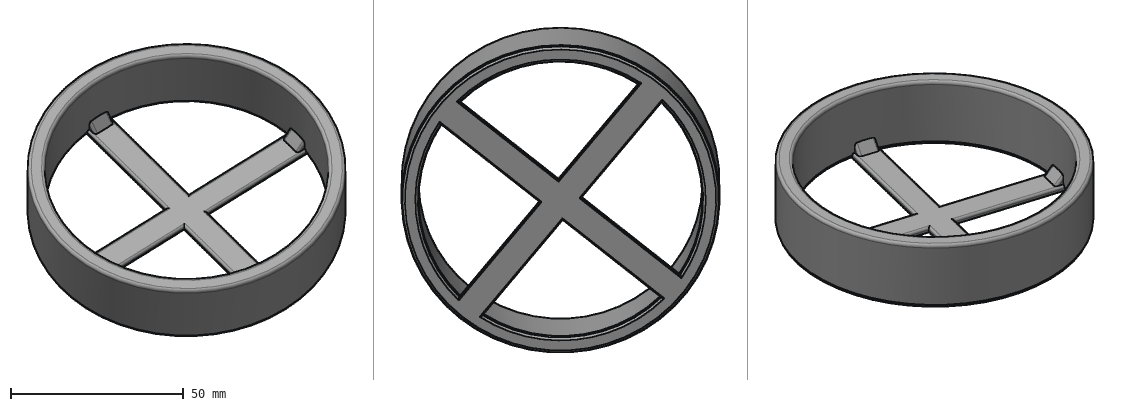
import cadquery as cq

outer_radius = 46.0
bore_radius = 82.0 / 2
ring_height = 22.0
rim_fillet = 1.0

taper_height = 1.4
taper_inset = 0.3
bevel_height = 0.6
bevel_inset = 1.0

spoke_width = 8.6
spoke_top = 2.0
spoke_fillet = 0.78
spoke_chamfer = 0.4

foot_width = spoke_width - 2 * spoke_fillet
foot_start = 38.1
foot_rise = 3.2
foot_fillet = 0.8

wall_middle = (outer_radius + bore_radius) / 2


def make_ring():
    profile = (
        cq.Workplane("XZ")
        .moveTo(bore_radius, taper_height)
        .lineTo(bore_radius + taper_inset, bevel_height)
        .lineTo(bore_radius + bevel_inset, 0)
        .lineTo(outer_radius - bevel_inset, 0)
        .lineTo(outer_radius - taper_inset, bevel_height)
        .lineTo(outer_radius, taper_height)
        .lineTo(outer_radius, ring_height)
        .lineTo(bore_radius, ring_height)
        .close()
    )
    return profile.revolve(360, (0, 0, 0), (0, 1, 0)).faces(">Z").edges().fillet(rim_fillet)


def make_cross():
    along_y = (
        cq.Workplane("XY")
        .rect(spoke_width, 2 * wall_middle)
        .extrude(spoke_top)
        .edges("|Y and >Z")
        .fillet(spoke_fillet)
        .edges("|Y and <Z")
        .chamfer(spoke_chamfer)
    )
    along_x = along_y.rotate((0, 0, 0), (0, 0, 1), 90)
    return along_y.union(along_x)


def make_foot():
    slope = foot_rise / (bore_radius - foot_start)
    base = spoke_top - spoke_fillet
    peak = spoke_top + slope * (wall_middle - foot_start)
    foot = (
        cq.Workplane("XZ")
        .moveTo(foot_start - spoke_fillet / slope, base)
        .lineTo(wall_middle, base)
        .lineTo(wall_middle, peak)
        .close()
        .extrude(foot_width / 2, both=True)
    )
    sloped_edges = foot.faces("<X").edges("not |Y")
    return sloped_edges.fillet(foot_fillet)


result = make_ring().union(make_cross())
for quarter in range(4):
    result = result.union(make_foot().rotate((0, 0, 0), (0, 0, 1), 90 * quarter))